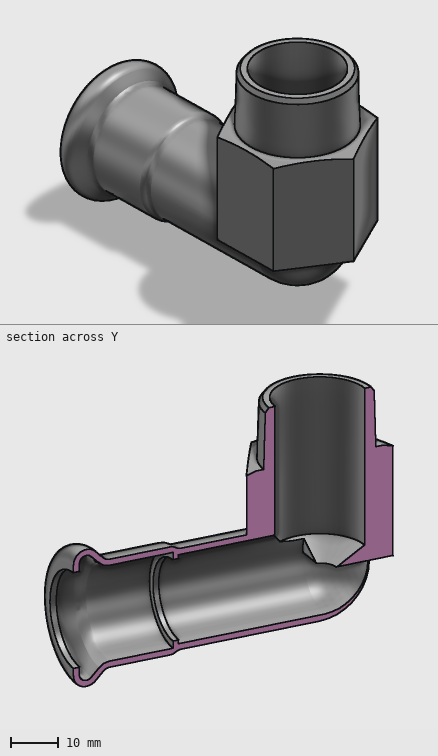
import cadquery as cq
import math

hex_across_flats = 30.0
hex_across_corners = hex_across_flats / math.cos(math.radians(30))
hex_top = 26.0
hex_chamfer_drop = 0.7

total_length = 75.3
total_height = 55.8
mouth_x = hex_across_corners / 2 - total_length

bead_radius = 31.7 / 2
bead_round = 3.1
bead_center_radius = bead_radius - bead_round
bead_cone_angle = 45
bead_blend_radius = 1.8
socket_radius = 25.0 / 2
bead_cone_end = bead_round * (1 + math.sqrt(2)) + bead_center_radius - socket_radius
socket_end = 23.4
neck_blend_radius = 2.1
tube_radius = 23.4 / 2
tube_start = 24.8

wall = 1.5
socket_bore_radius = socket_radius - wall
seal_groove_round = bead_round - wall
seal_groove_end = bead_cone_end - wall * math.tan(math.radians(bead_cone_angle / 2))
stop_radius = 9.35
tube_bore_radius = tube_radius - wall
tube_bore_end_x = 1.05

thread_top = total_height - bead_radius
thread_base_radius = 13.25
thread_end_radius = 12.9
thread_tip_radius = 12.05
thread_chamfer_height = 1.05
outlet_bore_radius = 10.55
drill_tip_radius = 3.9
drill_half_angle = 60
drill_cone_height = (outlet_bore_radius - drill_tip_radius) / math.tan(math.radians(drill_half_angle))


def revolve_about_x(profile):
    return profile.close().revolve(360, (0, 0, 0), (1, 0, 0))


def revolve_about_z(points):
    profile = cq.Workplane("XZ").polyline(points).close()
    return profile.revolve(360, (0, 0, 0), (0, 1, 0))


def blend_rings(body, ring_distances, blend_radius):
    """Round the circular edges at the given distances from the mouth."""
    selection_margin = 0.15
    for distance in ring_distances:
        ring_x = mouth_x + distance
        near = (ring_x - selection_margin, -selection_margin, -selection_margin)
        far = (ring_x + selection_margin, selection_margin, selection_margin)
        body = body.edges(cq.selectors.BoxSelector(near, far)).edges("%CIRCLE").fillet(blend_radius)
    return body


def round_tube_end(profile, radius, center_x):
    """Finish a tube profile with a hemisphere centred on the tube axis."""
    diagonal = radius * math.sqrt(0.5)
    return profile.lineTo(center_x, radius).threePointArc((center_x + diagonal, diagonal), (center_x + radius, 0))


def tube_body():
    diagonal = bead_round * math.sin(math.radians(bead_cone_angle))
    cone_start_x = mouth_x + bead_round + diagonal
    cone_start_radius = bead_center_radius + diagonal
    profile = (
        cq.Workplane("XY")
        .moveTo(mouth_x, 0)
        .lineTo(mouth_x, bead_center_radius)
        .threePointArc((mouth_x + bead_round, bead_radius), (cone_start_x, cone_start_radius))
        .lineTo(mouth_x + bead_cone_end, socket_radius)
        .lineTo(mouth_x + socket_end, socket_radius)
        .lineTo(mouth_x + tube_start, tube_radius)
    )
    body = revolve_about_x(round_tube_end(profile, tube_radius, 0))
    body = blend_rings(body, [bead_cone_end], bead_blend_radius)
    return blend_rings(body, [socket_end, tube_start], neck_blend_radius)


def hex_body():
    prism = cq.Workplane("XY").polygon(6, hex_across_corners).extrude(hex_top)
    corner_radius = hex_across_corners / 2
    chamfer_envelope = revolve_about_z([
        (0, 0),
        (corner_radius, 0),
        (corner_radius, hex_top - hex_chamfer_drop),
        (hex_across_flats / 2, hex_top),
        (0, hex_top),
    ])
    return prism.intersect(chamfer_envelope)


def threaded_outlet():
    return revolve_about_z([
        (0, 0),
        (thread_base_radius, 0),
        (thread_base_radius, hex_top),
        (thread_end_radius, thread_top - thread_chamfer_height),
        (thread_tip_radius, thread_top),
        (0, thread_top),
    ])


def tube_cavity():
    diagonal = seal_groove_round * math.sin(math.radians(bead_cone_angle))
    profile = (
        cq.Workplane("XY")
        .moveTo(mouth_x, 0)
        .lineTo(mouth_x, socket_bore_radius)
        .lineTo(mouth_x + wall, socket_bore_radius)
        .lineTo(mouth_x + wall, bead_center_radius)
        .threePointArc(
            (mouth_x + bead_round, bead_center_radius + seal_groove_round),
            (mouth_x + bead_round + diagonal, bead_center_radius + diagonal),
        )
        .lineTo(mouth_x + seal_groove_end, socket_bore_radius)
        .lineTo(mouth_x + socket_end, socket_bore_radius)
        .lineTo(mouth_x + socket_end, stop_radius)
        .lineTo(mouth_x + tube_start, stop_radius)
        .lineTo(mouth_x + tube_start, tube_bore_radius)
    )
    cavity = revolve_about_x(round_tube_end(profile, tube_bore_radius, tube_bore_end_x))
    cavity = blend_rings(cavity, [seal_groove_end], bead_blend_radius + wall)
    size = 2 * tube_bore_radius
    flat_end = cq.Workplane("XY").box(size, size, size, centered=(False, True, False))
    return cavity.cut(flat_end.translate((tube_bore_end_x, 0, 0)))


def outlet_cavity():
    return revolve_about_z([
        (0, 0),
        (drill_tip_radius, 0),
        (outlet_bore_radius, drill_cone_height),
        (outlet_bore_radius, thread_top),
        (0, thread_top),
    ])


outside = tube_body().union(hex_body()).union(threaded_outlet())
result = outside.cut(tube_cavity()).cut(outlet_cavity())